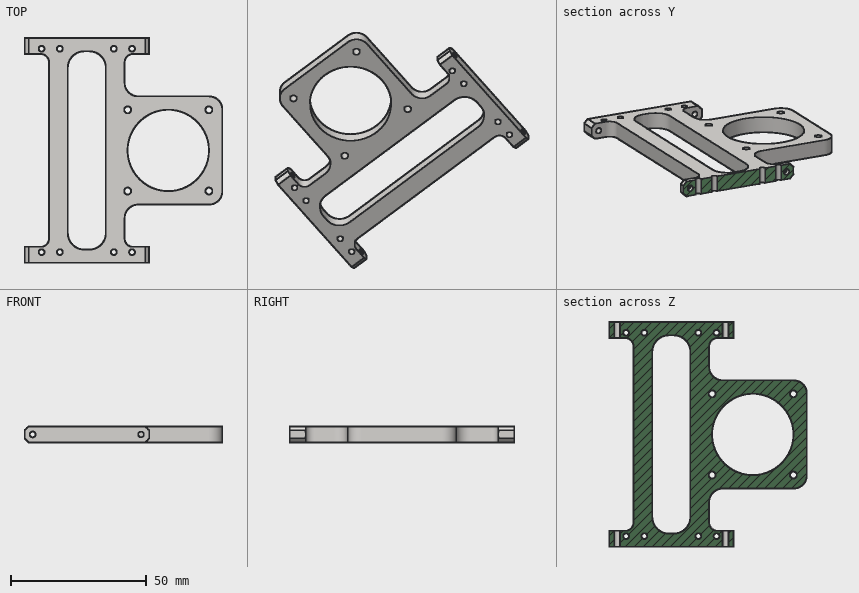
import cadquery as cq

length_x = 73.0
length_y = 83.0
thickness = 6.0
mid_y = length_y / 2

bar_length = 46.0
bar_width = 6.0
bar_bevel = 1.5
mid_x = bar_length / 2

spine_width = 28.0
spine_left = mid_x - spine_width / 2
spine_right = mid_x + spine_width / 2
spine_fillet = 3.0
slot_width = 13.95
slot_length = 73.0
slot_corner_radius = 6.0

flange_height = 40.0
flange_radius = 5.0
bore_diameter = 30.0
flange_hole_spacing = 30.0
flange_hole_diameter = 2.5
bore_x = length_x - flange_height / 2

bar_hole_diameter = 2.1
bar_hole_inset = 4.0
bar_hole_offsets = (10.0, 16.7)
tip_hole_inset = 3.0


def block(x_min, x_max, y_center, y_size):
    """Full-thickness rectangular block, centred in Y on y_center."""
    return (
        cq.Workplane("XY")
        .center((x_min + x_max) / 2, y_center)
        .rect(x_max - x_min, y_size)
        .extrude(thickness)
    )


def vertical_edges(body, x, y_offset):
    """Vertical edges at x, mirrored about the middle of the part in Y."""
    reach = 0.1
    box = cq.selectors.BoxSelector
    low_y = mid_y - y_offset
    high_y = mid_y + y_offset
    lower = box((x - reach, low_y - reach, 0), (x + reach, low_y + reach, thickness))
    upper = box((x - reach, high_y - reach, 0), (x + reach, high_y + reach, thickness))
    return body.edges("|Z").edges(lower + upper)


def cross_bar(y_center):
    """Bar along X with bevelled tips and a hole through each tip along Y."""
    bar = block(0, bar_length, y_center, bar_width)
    bar = bar.faces("<X or >X").edges("|Y").chamfer(bar_bevel)
    tip_holes = (
        cq.Workplane("XZ", origin=(0, y_center, thickness / 2))
        .pushPoints([(tip_hole_inset, 0), (bar_length - tip_hole_inset, 0)])
        .circle(bar_hole_diameter / 2)
        .extrude(bar_width, both=True)
    )
    return bar.cut(tip_holes)


def drill(body, points, diameter):
    """Cut vertical through holes at the given points."""
    holes = cq.Workplane("XY").pushPoints(points).circle(diameter / 2).extrude(thickness)
    return body.cut(holes)


result = block(spine_left, spine_right, mid_y, length_y - 2 * bar_width)
for bar_y in (bar_width / 2, length_y - bar_width / 2):
    result = result.union(cross_bar(bar_y))
result = result.union(block(mid_x, length_x, mid_y, flange_height))

for x in (spine_left, spine_right):
    result = vertical_edges(result, x, mid_y - bar_width).fillet(spine_fillet)
for x in (spine_right, length_x):
    result = vertical_edges(result, x, flange_height / 2).fillet(flange_radius)

slot = block(mid_x - slot_width / 2, mid_x + slot_width / 2, mid_y, slot_length)
result = result.cut(slot.edges("|Z").fillet(slot_corner_radius))

result = drill(result, [(bore_x, mid_y)], bore_diameter)
half_spacing = flange_hole_spacing / 2
flange_points = [
    (bore_x + side_x * half_spacing, mid_y + side_y * half_spacing)
    for side_x in (-1, 1)
    for side_y in (-1, 1)
]
result = drill(result, flange_points, flange_hole_diameter)

bar_points = [
    (mid_x + side * offset, y)
    for side in (-1, 1)
    for offset in bar_hole_offsets
    for y in (bar_hole_inset, length_y - bar_hole_inset)
]
result = drill(result, bar_points, bar_hole_diameter)